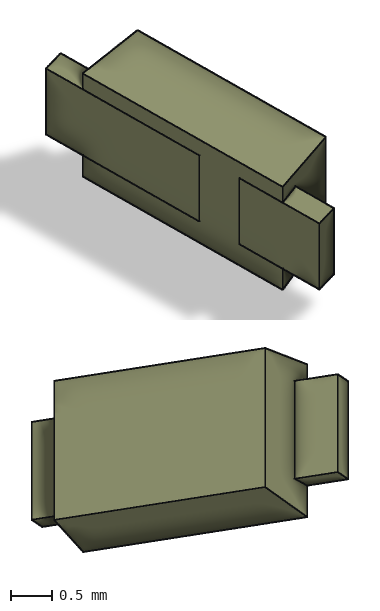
import cadquery as cq

total_length = 4.1
housing_length = 3.0
housing_height = 1.95
housing_depth = 1.0
draft_angle = 5.0

terminal_thickness = 0.3
terminal_height = 1.25
terminal_top_margin = 0.3
long_terminal_length = 2.3
short_terminal_length = 1.2

terminal_bottom = housing_height / 2 - terminal_top_margin - terminal_height


def make_terminal(start_x, length):
    """Flat terminal whose left end is at start_x."""
    return cq.Workplane("XY").box(
        length, terminal_thickness, terminal_height, centered=False
    ).translate((start_x, 0, terminal_bottom))


def make_housing(terminals):
    """Drafted block with a recess that fits each terminal."""
    housing = (
        cq.Workplane("ZX")
        .rect(housing_height, housing_length)
        .extrude(housing_depth, taper=draft_angle)
    )
    for terminal in terminals:
        housing = housing.cut(terminal)
    return housing


terminal_layout = [
    (-total_length / 2, long_terminal_length),
    (total_length / 2 - short_terminal_length, short_terminal_length),
]
terminals = [make_terminal(start_x, length) for start_x, length in terminal_layout]
housing = make_housing(terminals)

result = cq.Compound.makeCompound(
    [housing.solids().val(), *[terminal.val() for terminal in terminals]]
)